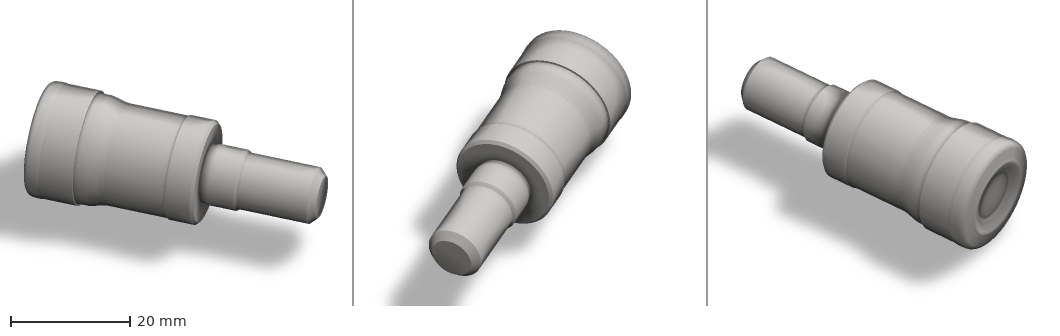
import cadquery as cq

CAP_LENGTH = 9.2
TOTAL_LENGTH = 50.0

CAP_RADIUS = 10.0
CAP_REAR_RADIUS = 9.9
CAP_SHOULDER_RADIUS = 9.95
CAP_CROWN_START = 1.55
CAP_CROWN_FULL = 2.3
CAP_CROWN_END = 2.85
CAP_REAR_START = 3.3
FACE_OUTER_RADIUS = 9.1
FACE_OUTER_X = 0.45
LIP_OUTER_RADIUS = 7.05
LIP_INNER_RADIUS = 6.35
LIP_TIP_RADIUS = 6.75
LIP_X = 0.075
MOUTH_RADIUS = 5.1
MOUTH_DEPTH = 0.6
THROAT_RADIUS = 4.65
THROAT_DEPTH = 0.75
BORE_RADIUS = 4.2
BORE_CHAMFER_DEPTH = 0.95
ROUND_MID_RADIUS = 9.7
ROUND_MID_X = 0.85

SPIGOT_FRONT_X = 1.05
COLLAR_RADIUS = 19 / 2
COLLAR_END = 11.0
COLLAR_ROUND_END = 11.6
COLLAR_ROUND_RADIUS = 9.4
NECK_BLEND_START = 13.6
NECK_BLEND_RADIUS = 8.9
BARREL_RADIUS = 17.6 / 2
BARREL_START = 14.3
BARREL_END = 24.9
FLANGE_RADIUS = 18 / 2
FLANGE_STEP_LENGTH = 0.25
FLANGE_END = 30.0
FLANGE_CHAMFER = 0.5
RELIEF_RADIUS = 10.1 / 2
RELIEF_END = 30.45
PILOT_RADIUS = 10.5 / 2
PILOT_START = 31.15
PILOT_END = 36.0
SHANK_RADIUS = 9.75 / 2
SHANK_START = 36.55
END_CHAMFER = 1.25


def revolve_about_x(profile):
    """Turn a closed profile, drawn as (x, radius), about the X axis."""
    return profile.close().revolve(360, (0, 0, 0), (1, 0, 0))


def make_cap():
    """Ring with a rounded front, a flared mouth and a through bore for the spigot."""
    profile = (
        cq.Workplane("XY")
        .moveTo(CAP_LENGTH, BORE_RADIUS)
        .lineTo(BORE_CHAMFER_DEPTH, BORE_RADIUS)
        .lineTo(THROAT_DEPTH, THROAT_RADIUS)
        .lineTo(MOUTH_DEPTH, MOUTH_RADIUS)
        .lineTo(LIP_X, LIP_INNER_RADIUS)
        .threePointArc((0, LIP_TIP_RADIUS), (LIP_X, LIP_OUTER_RADIUS))
        .lineTo(FACE_OUTER_X, FACE_OUTER_RADIUS)
        .threePointArc((ROUND_MID_X, ROUND_MID_RADIUS), (CAP_CROWN_START, CAP_SHOULDER_RADIUS))
        .lineTo(CAP_CROWN_FULL, CAP_RADIUS)
        .lineTo(CAP_CROWN_END, CAP_RADIUS)
        .lineTo(CAP_REAR_START, CAP_REAR_RADIUS)
        .lineTo(CAP_LENGTH, CAP_REAR_RADIUS)
    )
    return revolve_about_x(profile)


def make_stem():
    """Stepped turned stem: spigot, collar, barrel, flange, pilot and chamfered shank."""
    profile = (
        cq.Workplane("XY")
        .moveTo(SPIGOT_FRONT_X, 0)
        .lineTo(SPIGOT_FRONT_X, BORE_RADIUS)
        .lineTo(CAP_LENGTH, BORE_RADIUS)
        .lineTo(CAP_LENGTH, COLLAR_RADIUS)
        .lineTo(COLLAR_END, COLLAR_RADIUS)
        .lineTo(COLLAR_ROUND_END, COLLAR_ROUND_RADIUS)
        .lineTo(NECK_BLEND_START, NECK_BLEND_RADIUS)
        .lineTo(BARREL_START, BARREL_RADIUS)
        .lineTo(BARREL_END, BARREL_RADIUS)
        .lineTo(BARREL_END + FLANGE_STEP_LENGTH, FLANGE_RADIUS)
        .lineTo(FLANGE_END - FLANGE_CHAMFER, FLANGE_RADIUS)
        .lineTo(FLANGE_END, FLANGE_RADIUS - FLANGE_CHAMFER)
        .lineTo(FLANGE_END, RELIEF_RADIUS)
        .lineTo(RELIEF_END, RELIEF_RADIUS)
        .lineTo(PILOT_START, PILOT_RADIUS)
        .lineTo(PILOT_END, PILOT_RADIUS)
        .lineTo(SHANK_START, SHANK_RADIUS)
        .lineTo(TOTAL_LENGTH - END_CHAMFER, SHANK_RADIUS)
        .lineTo(TOTAL_LENGTH, SHANK_RADIUS - END_CHAMFER)
        .lineTo(TOTAL_LENGTH, 0)
    )
    return revolve_about_x(profile)


cap = make_cap()
stem = make_stem()

result = cq.Compound.makeCompound([cap.val(), stem.val()])